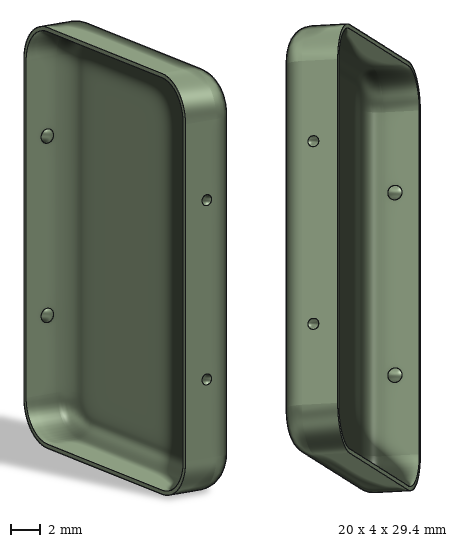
import cadquery as cq

width = 20.0
depth = 4.0
height = 29.4
corner_radius = 2.9
back_edge_radius = 1.5
wall = 0.3

dimple_radius = 0.5
dimple_depth = 0.18
dimple_spacing = 12.52
dimple_from_rim = 1.7

front_y = -depth / 2


def rounded_block(inset):
    """Block reaching back from the open rim, offset inward by inset all round."""
    block = (
        cq.Workplane("XZ", origin=(0, front_y, 0))
        .rect(width - 2 * inset, height - 2 * inset)
        .extrude(-(depth - inset))
    )
    block = block.edges("|Y").fillet(corner_radius - inset)
    return block.faces(">Y").edges().fillet(back_edge_radius - inset)


def side_spheres(radius):
    """Spheres at every dimple center, just outside both side walls."""
    center_x = width / 2 - dimple_depth + dimple_radius
    centers = [
        (front_y + dimple_from_rim, z, x)
        for x in (-center_x, center_x)
        for z in (-dimple_spacing / 2, dimple_spacing / 2)
    ]
    return cq.Workplane("YZ").pushPoints(centers).sphere(radius)


outer_block = rounded_block(0)
cavity = rounded_block(wall).cut(side_spheres(dimple_radius + wall))
result = outer_block.cut(cavity).cut(side_spheres(dimple_radius))